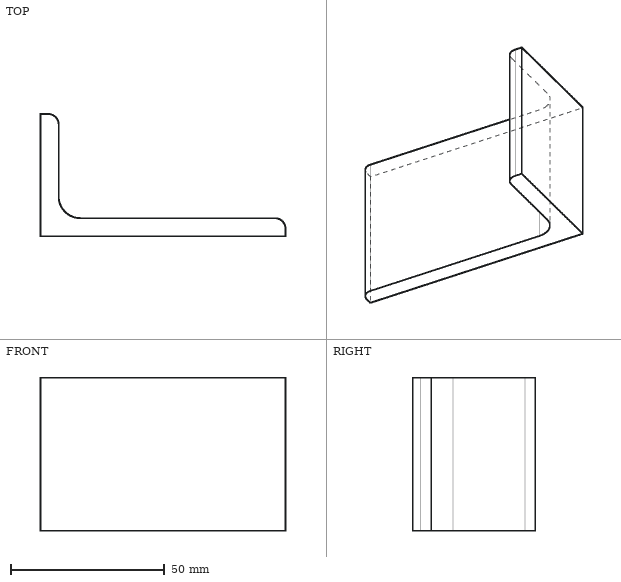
import cadquery as cq

long_leg = 80.0
short_leg = 40.0
thickness = 6.0
root_radius = 7.0
toe_radius = 3.5
length = 50.0


def angle_outline():
    """Sharp-cornered L outline with its heel at the origin."""
    return (
        cq.Workplane("XY")
        .moveTo(0, 0)
        .lineTo(long_leg, 0)
        .lineTo(long_leg, thickness)
        .lineTo(thickness, thickness)
        .lineTo(thickness, short_leg)
        .lineTo(0, short_leg)
        .close()
    )


def round_edge(body, x, y, radius):
    """Round the lengthwise edge passing through (x, y)."""
    edge = cq.selectors.NearestToPointSelector((x, y, length / 2))
    return body.edges("|Z").edges(edge).fillet(radius)


angle = angle_outline().extrude(length)

angle = round_edge(angle, thickness, thickness, root_radius)
angle = round_edge(angle, long_leg, thickness, toe_radius)
angle = round_edge(angle, thickness, short_leg, toe_radius)

result = angle